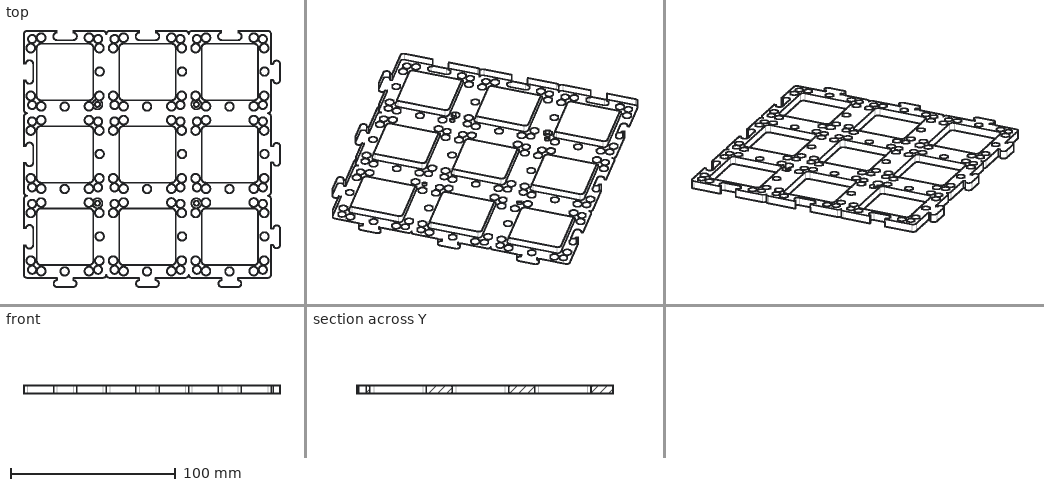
import cadquery as cq

tile_pitch = 50.0
tiles_per_side = 3
thickness = 5.0
plate_size = tile_pitch * tiles_per_side
tile_corner_radius = 2.0

window_size = 34.1
window_corner_radius = 2.2

corner_hole_diameter = 4.85
corner_hole_offset = 20.0
flank_hole_diameter = 5.2
flank_hole_outer_offset = 20.8
flank_hole_inner_offset = 14.5
edge_hole_diameter = 5.0
edge_hole_offset = 21.0
edge_hole_shift = 0.25

screw_spacing = 60.0
screw_shift = 0.35
screw_hole_diameter = 3.0
screw_head_diameter = 6.0
screw_head_depth = 3.2

tab_reach = 5.5
neck_length = 1.3
neck_width = 10.0
head_width = 14.0
socket_clearance = 0.1

tile_positions = [(i - (tiles_per_side - 1) / 2) * tile_pitch for i in range(tiles_per_side)]
tile_centres = [(x, y) for x in tile_positions for y in tile_positions]


def rounded_squares(size, radius, centres):
    """Full-thickness square blocks with rounded vertical edges."""
    return (
        cq.Workplane("XY")
        .pushPoints(centres)
        .rect(size, size)
        .extrude(thickness)
        .edges("|Z")
        .fillet(radius)
    )


def make_plate():
    """Join the tiles; their rounded corners leave small notches at the outer joints."""
    core_size = plate_size - 2 * tile_corner_radius
    plate = cq.Workplane("XY").rect(core_size, core_size).extrude(thickness)
    for centre in tile_centres:
        plate = plate.union(rounded_squares(tile_pitch, tile_corner_radius, [centre]))
    return plate


def cut_windows(plate):
    return plate.cut(rounded_squares(window_size, window_corner_radius, tile_centres))


def make_connector(clearance):
    """Connector growing along +X from the origin: a neck and a round-ended head across it."""
    head_centre = (neck_length + tab_reach) / 2
    head_length = tab_reach - neck_length + 2 * clearance
    head = (
        cq.Workplane("XY")
        .center(head_centre, 0)
        .slot2D(head_width + 2 * clearance, head_length, 90)
        .extrude(thickness)
    )
    neck = (
        cq.Workplane("XY")
        .center((head_centre - neck_length) / 2, 0)
        .rect(head_centre + neck_length, neck_width + 2 * clearance)
        .extrude(thickness)
    )
    return head.union(neck)


def add_connectors(plate):
    """Tabs on the +X and -Y sides, sockets on the -X and +Y sides."""
    half = plate_size / 2
    tab = make_connector(0)
    socket = make_connector(socket_clearance)
    downward_tab = tab.rotate((0, 0, 0), (0, 0, 1), -90)
    downward_socket = socket.rotate((0, 0, 0), (0, 0, 1), -90)
    for position in tile_positions:
        plate = plate.union(tab.translate((half, position, 0)))
        plate = plate.union(downward_tab.translate((position, -half, 0)))
        plate = plate.cut(socket.translate((-half, position, 0)))
        plate = plate.cut(downward_socket.translate((position, half, 0)))
    return plate


def four_corners(x, y, x_offset, y_offset):
    return [(x + sx * x_offset, y + sy * y_offset) for sx in (-1, 1) for sy in (-1, 1)]


def drill(plate, points, diameter):
    pins = cq.Workplane("XY").pushPoints(points).circle(diameter / 2).extrude(thickness)
    return plate.cut(pins)


def drill_tile_holes(plate):
    corner_holes = []
    flank_holes = []
    edge_holes = []
    for x, y in tile_centres:
        corner_holes += four_corners(x, y, corner_hole_offset, corner_hole_offset)
        flank_holes += four_corners(x, y, flank_hole_outer_offset, flank_hole_inner_offset)
        flank_holes += four_corners(x, y, flank_hole_inner_offset, flank_hole_outer_offset)
        edge_holes.append((x + edge_hole_offset, y + edge_hole_shift))
        edge_holes.append((x - edge_hole_shift, y - edge_hole_offset))

    screw_places = four_corners(0, 0, screw_spacing / 2, screw_spacing / 2)
    corner_holes = [point for point in corner_holes if point not in screw_places]

    plate = drill(plate, corner_holes, corner_hole_diameter)
    plate = drill(plate, flank_holes, flank_hole_diameter)
    return drill(plate, edge_holes, edge_hole_diameter)


def drill_screw_holes(plate):
    screw_points = four_corners(-screw_shift, screw_shift, screw_spacing / 2, screw_spacing / 2)
    return (
        plate.faces(">Z")
        .workplane(origin=(0, 0, thickness))
        .pushPoints(screw_points)
        .cboreHole(screw_hole_diameter, screw_head_diameter, screw_head_depth)
    )


result = make_plate()
result = cut_windows(result)
result = add_connectors(result)
result = drill_tile_holes(result)
result = drill_screw_holes(result)